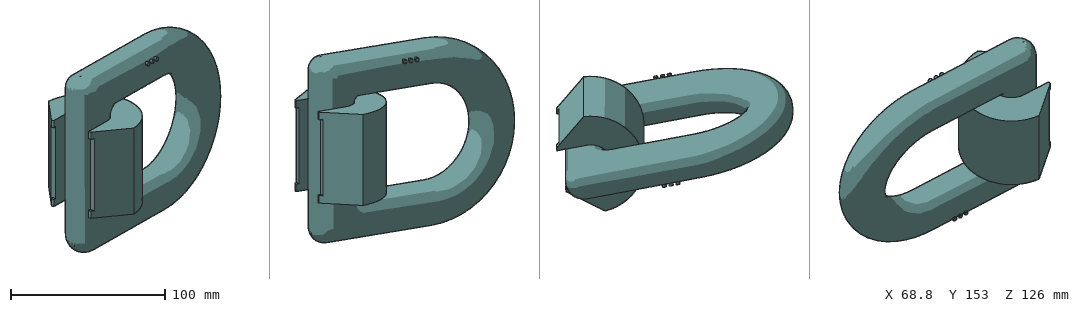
import cadquery as cq
import math

bow_outer_radius = 63.0
bar_depth = 30.0
bar_width = 27.3
bar_edge_radius = 13.4
base_y = -87.0
outer_corner_radius = 9.0
inner_corner_radius = 3.0
bow_inner_radius = bow_outer_radius - bar_depth
opening_base_y = base_y + bar_depth

dot_diameter = 2.7
dot_height = 0.5
dot_count = 3
dot_pitch = 4.5
first_dot_y = -15.7
dot_z = 54.6

lug_height = 61.5
lug_radius = 34.5
lug_width = 68.83
lug_centre_y = -70.5
slot_radius = 14.0
foot_y = -90.0
foot_length = 2.0
foot_height = 5.1
foot_tip_x = 15.85
lug_corner_x = lug_width / 2
lug_corner_y = lug_centre_y + math.sqrt(lug_radius**2 - lug_corner_x**2)


def d_shape(radius, straight_end_y):
    """D-shaped block, centred on the YZ plane, with its bow towards +Y."""
    return (
        cq.Workplane("YZ")
        .moveTo(straight_end_y, -radius)
        .lineTo(0, -radius)
        .threePointArc((radius, 0), (0, radius))
        .lineTo(straight_end_y, radius)
        .close()
        .extrude(bar_width / 2, both=True)
    )


def make_ring_bar():
    """D-shaped link with all of its edges rounded."""
    opening = d_shape(bow_inner_radius, opening_base_y).edges("|X and <Y").fillet(inner_corner_radius)
    blank = d_shape(bow_outer_radius, base_y).cut(opening)
    rounded = blank.faces("<X or >X").edges().fillet(bar_edge_radius)
    return rounded.edges("|X and <Y").fillet(outer_corner_radius)


def make_dots(side):
    """Row of raised dots on the +X (side = 1) or -X (side = -1) face of the ring."""
    positions = [(first_dot_y - i * dot_pitch, side * dot_z) for i in range(dot_count)]
    dot_reach = bar_width / 2 + dot_height
    return cq.Workplane("YZ").pushPoints(positions).circle(dot_diameter / 2).extrude(side * dot_reach)


def make_ring():
    """Link with its raised dots, lower row on -X and upper row on +X."""
    ring = make_ring_bar()
    for side in (-1, 1):
        ring = ring.union(make_dots(side))
    return ring


def make_lug():
    """Saddle with an open slot for the base bar and a foot at each corner."""
    profile = (
        cq.Workplane("XY")
        .moveTo(foot_tip_x, foot_y)
        .lineTo(lug_corner_x, lug_corner_y)
        .threePointArc((0, lug_centre_y + lug_radius), (-lug_corner_x, lug_corner_y))
        .lineTo(-foot_tip_x, foot_y)
        .lineTo(-slot_radius, foot_y)
        .lineTo(-slot_radius, lug_centre_y)
        .threePointArc((0, lug_centre_y + slot_radius), (slot_radius, lug_centre_y))
        .lineTo(slot_radius, foot_y)
        .close()
    )
    body = profile.extrude(lug_height / 2, both=True)
    gap_between_feet = (
        cq.Workplane("XY")
        .box(lug_width, 2 * foot_length, lug_height - 2 * foot_height)
        .translate((0, foot_y, 0))
    )
    return body.cut(gap_between_feet)


ring = make_ring()
lug = make_lug()

result = cq.Compound.makeCompound([ring.val(), lug.val()])